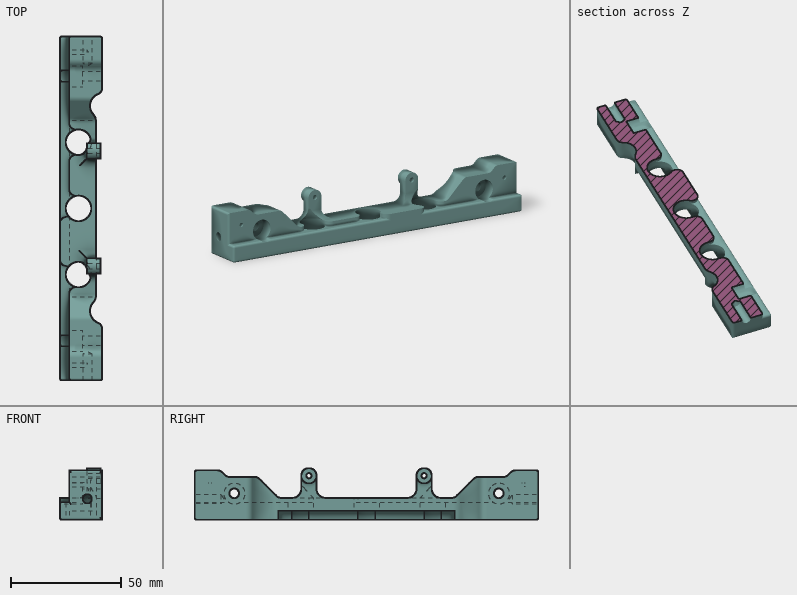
import cadquery as cq
import math

LENGTH = 156.0
WIDTH = 19.25
HALF_LENGTH = LENGTH / 2
EDGE_FILLET = 1.0

LEDGE_TOP = 8.0
PLATE_TOP = 10.0
SHOULDER_TOP = 19.5
BLOCK_TOP = 22.5

LEDGE_WIDTH = 4.25
PLATE_EDGE = 16.5

STEP_START = 11.65
RAMP_START = 28.5
PROFILE_FILLET = 3.0

NOTCH_DIAMETER = 11.5
NOTCH_X = 19.5
NOTCH_Y = 46.5
NOTCH_BLOCK_FILLET = 3.0
NOTCH_PLATE_FILLET = 5.0

HOLE_DIAMETER = 11.5
HOLE_X = 8.5
HOLE_PITCH = 30.0
SLOT_FILLET = 3.0
HOLE_RELIEF_ANGLE = 20.0

RECESS_HEIGHT = 4.0
RECESS_HALF_LENGTH = 40.0

PAD_Y = -HOLE_PITCH / 2
PAD_LENGTH = HOLE_PITCH - 2 * math.sqrt((HOLE_DIAMETER / 2) ** 2 - (HOLE_X - LEDGE_WIDTH) ** 2)
PAD_FILLET = 3.0

LUG_WIDTH = 7.0
LUG_Y = 26.125
LUG_X = 12.25
LUG_THICKNESS = 6.25
LUG_PIN_Z = 20.0
LUG_PIN_DIAMETER = 2.3
LUG_FOOT_FILLET = 4.0

SCREW_DIAMETER = 4.3
COUNTERBORE_DIAMETER = 9.5
COUNTERBORE_DEPTH = 6.0
SCREW_Y = 60.0
SCREW_Z = 12.0

DRILL_POINT_ANGLE = 118.0
SIDE_HOLE_DIAMETER = 2.0
SIDE_HOLE_DEPTH = 8.0
SIDE_HOLE_Y = 71.0
SIDE_HOLE_Z = 16.0
END_HOLE_DIAMETER = 4.2
END_HOLE_DEPTH = 12.0
END_HOLE_X = 12.5
END_HOLE_Z = 9.5


def box(x_range, y_range, z_range):
    """Box spanning the given (low, high) ranges."""
    size = [high - low for low, high in (x_range, y_range, z_range)]
    corner = (x_range[0], y_range[0], z_range[0])
    return cq.Workplane("XY").box(*size, centered=False).translate(corner)


def cylinder(diameter, depth, start, direction):
    """Cylinder growing from a start point along a direction."""
    return cq.Workplane(cq.Solid.makeCylinder(diameter / 2, depth, cq.Vector(*start), cq.Vector(*direction)))


def drilled_hole(diameter, depth, start, direction):
    """Blind hole with a conical drill point at its bottom."""
    radius = diameter / 2
    point_length = radius / math.tan(math.radians(DRILL_POINT_ANGLE / 2))
    axis = cq.Vector(*direction)
    bottom = cq.Vector(*start) + axis * depth
    point = cq.Solid.makeCone(radius, 0, point_length, bottom, axis)
    return cylinder(diameter, depth, start, direction).union(cq.Workplane(point))


def make_side_profile():
    """Lengthwise silhouette: stepped blocks at both ends, low plate between."""
    step_y = HALF_LENGTH - STEP_START
    step_foot_y = step_y - (BLOCK_TOP - SHOULDER_TOP)
    ramp_y = HALF_LENGTH - RAMP_START
    ramp_foot_y = ramp_y - (SHOULDER_TOP - PLATE_TOP)
    half_profile = [
        (HALF_LENGTH, 0),
        (HALF_LENGTH, BLOCK_TOP),
        (step_y, BLOCK_TOP),
        (step_foot_y, SHOULDER_TOP),
        (ramp_y, SHOULDER_TOP),
        (ramp_foot_y, PLATE_TOP),
    ]
    mirrored = [(-y, z) for y, z in reversed(half_profile)]
    body = cq.Workplane("YZ").polyline(half_profile + mirrored).close().extrude(WIDTH)
    for sign in (1, -1):
        for y, z in half_profile[2:]:
            corner = cq.selectors.NearestToPointSelector((WIDTH / 2, sign * y, z))
            body = body.edges("|X").edges(corner).fillet(PROFILE_FILLET)
    return body


def cut_plan_notches(body):
    """Narrow the middle to the plate edge, ending in a round notch at each block."""
    waste_x = (PLATE_EDGE, WIDTH + NOTCH_DIAMETER)
    waste = box(waste_x, (-NOTCH_Y, NOTCH_Y), (0, BLOCK_TOP))
    for sign in (1, -1):
        waste = waste.union(cylinder(NOTCH_DIAMETER, BLOCK_TOP, (NOTCH_X, sign * NOTCH_Y, 0), (0, 0, 1)))
    plan = box((0, WIDTH), (-HALF_LENGTH, HALF_LENGTH), (0, BLOCK_TOP)).cut(waste)
    radius = NOTCH_DIAMETER / 2
    inner_y = NOTCH_Y - math.sqrt(radius**2 - (NOTCH_X - PLATE_EDGE) ** 2)
    outer_y = NOTCH_Y + math.sqrt(radius**2 - (NOTCH_X - WIDTH) ** 2)
    plan_corners = ((PLATE_EDGE, inner_y, NOTCH_PLATE_FILLET), (WIDTH, outer_y, NOTCH_BLOCK_FILLET))
    for sign in (1, -1):
        for x, y, fillet in plan_corners:
            corner = cq.selectors.NearestToPointSelector((x, sign * y, BLOCK_TOP / 2))
            plan = plan.edges("|Z").edges(corner).fillet(fillet)
    return body.intersect(plan)


def cut_ledge(body):
    """Lower the -X side to the ledge and round its long edges and the bar ends."""
    full_length = (-HALF_LENGTH, HALF_LENGTH)
    body = body.cut(box((0, LEDGE_WIDTH), full_length, (LEDGE_TOP, BLOCK_TOP)))
    for z in (0, LEDGE_TOP):
        edge = cq.selectors.NearestToPointSelector((0, 0, z))
        body = body.edges("|Y").edges(edge).fillet(EDGE_FILLET)
    return body.faces("<Y or >Y").edges().fillet(EDGE_FILLET)


def make_slot(y):
    """Opening above the ledge from the bar side to a large hole, with flared mouth corners."""
    half_width = HOLE_DIAMETER / 2
    flare = half_width + SLOT_FILLET
    mid = SLOT_FILLET * (1 - math.sqrt(0.5))
    inner_x = LEDGE_WIDTH + SLOT_FILLET
    return (
        cq.Workplane("XY", origin=(0, y, LEDGE_TOP))
        .moveTo(LEDGE_WIDTH, flare)
        .threePointArc((LEDGE_WIDTH + mid, half_width + mid), (inner_x, half_width))
        .lineTo(HOLE_X, half_width)
        .lineTo(HOLE_X, -half_width)
        .lineTo(inner_x, -half_width)
        .threePointArc((LEDGE_WIDTH + mid, -half_width - mid), (LEDGE_WIDTH, -flare))
        .close()
        .extrude(PLATE_TOP - LEDGE_TOP)
    )


def make_pad():
    """Raised pad bridging the ledge and the plate, rounded at its outer corners."""
    y_range = (PAD_Y - PAD_LENGTH / 2, PAD_Y + PAD_LENGTH / 2)
    pad = box((0, HOLE_X), y_range, (EDGE_FILLET, PLATE_TOP))
    return pad.edges("|Z and <X").fillet(PAD_FILLET)


def make_lug(y):
    """Round-headed upright lug with concave feet blending into the plate."""
    half_width = LUG_WIDTH / 2
    foot_top = PLATE_TOP + LUG_FOOT_FILLET
    foot_half = half_width + LUG_FOOT_FILLET
    foot_start = LUG_X - LUG_FOOT_FILLET
    bend = LUG_FOOT_FILLET * (1 - math.sqrt(0.5))
    stem = box((LUG_X, PLATE_EDGE), (y - half_width, y + half_width), (PLATE_TOP, LUG_PIN_Z))
    head = cylinder(LUG_WIDTH, LUG_THICKNESS, (LUG_X, y, LUG_PIN_Z), (1, 0, 0))
    foot_across = (
        cq.Workplane("YZ", origin=(foot_start, y, 0))
        .moveTo(-foot_half, PLATE_TOP)
        .threePointArc((-half_width - bend, PLATE_TOP + bend), (-half_width, foot_top))
        .lineTo(half_width, foot_top)
        .threePointArc((half_width + bend, PLATE_TOP + bend), (foot_half, PLATE_TOP))
        .close()
        .extrude(PLATE_EDGE - foot_start)
    )
    foot_along = (
        cq.Workplane("XZ", origin=(0, y + foot_half, 0))
        .moveTo(foot_start, PLATE_TOP)
        .threePointArc((LUG_X - bend, PLATE_TOP + bend), (LUG_X, foot_top))
        .lineTo(PLATE_EDGE, foot_top)
        .lineTo(PLATE_EDGE, PLATE_TOP)
        .close()
        .extrude(2 * foot_half)
    )
    return stem.union(head).union(foot_across.intersect(foot_along))


def make_hole(y):
    """Large vertical hole, with a cone above the plate that clears the lug beside it."""
    radius = HOLE_DIAMETER / 2
    top_radius = LUG_X - HOLE_X
    cone_height = (radius - top_radius) / math.tan(math.radians(HOLE_RELIEF_ANGLE))
    cone_base = cq.Vector(HOLE_X, y, PLATE_TOP)
    cone = cq.Solid.makeCone(radius, top_radius, cone_height, cone_base, cq.Vector(0, 0, 1))
    return cylinder(HOLE_DIAMETER, PLATE_TOP, (HOLE_X, y, 0), (0, 0, 1)).union(cq.Workplane(cone))


def make_recess():
    """Space under the plate, leaving a skirt below the ledge."""
    y_range = (-RECESS_HALF_LENGTH, RECESS_HALF_LENGTH)
    return box((LEDGE_WIDTH, WIDTH), y_range, (0, RECESS_HEIGHT))


def cut_block_holes(body):
    """Counterbored screw holes, side pin holes and end holes in both blocks."""
    for sign in (1, -1):
        screw_start = (0, sign * SCREW_Y, SCREW_Z)
        body = body.cut(cylinder(SCREW_DIAMETER, WIDTH, screw_start, (1, 0, 0)))
        bore_length = LEDGE_WIDTH + COUNTERBORE_DEPTH
        body = body.cut(cylinder(COUNTERBORE_DIAMETER, bore_length, screw_start, (1, 0, 0)))
        side_start = (LEDGE_WIDTH, sign * SIDE_HOLE_Y, SIDE_HOLE_Z)
        body = body.cut(drilled_hole(SIDE_HOLE_DIAMETER, SIDE_HOLE_DEPTH, side_start, (1, 0, 0)))
        end_start = (END_HOLE_X, sign * HALF_LENGTH, END_HOLE_Z)
        body = body.cut(drilled_hole(END_HOLE_DIAMETER, END_HOLE_DEPTH, end_start, (0, -sign, 0)))
    return body


hole_positions = (-HOLE_PITCH, 0, HOLE_PITCH)

part = cut_ledge(cut_plan_notches(make_side_profile()))
for hole_y in hole_positions:
    part = part.cut(make_slot(hole_y))
part = part.union(make_pad())
for lug_y in (-LUG_Y, LUG_Y):
    part = part.union(make_lug(lug_y))
for hole_y in hole_positions:
    part = part.cut(make_hole(hole_y))
for lug_y in (-LUG_Y, LUG_Y):
    part = part.cut(cylinder(LUG_PIN_DIAMETER, LUG_THICKNESS, (LUG_X, lug_y, LUG_PIN_Z), (1, 0, 0)))
part = part.cut(make_recess())
result = cut_block_holes(part)